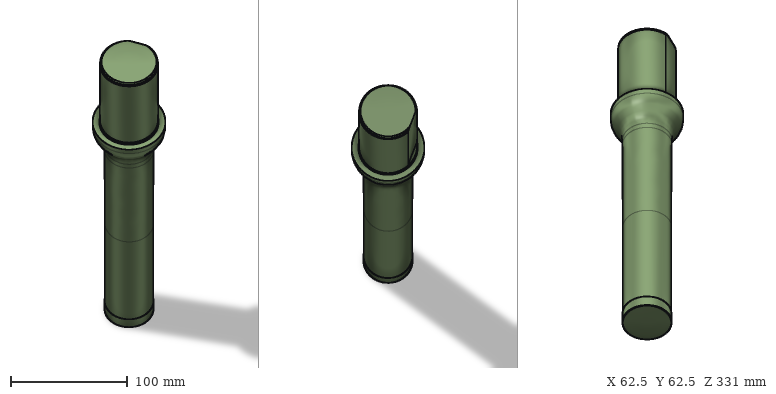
import cadquery as cq

total_height = 331.0
dome_height = 0.8
head_height = 11.7
taper_bottom = 115.5
taper_top = 214.7
neck_top = 219.7
bell_shoulder_height = 236.5
flange_underside = 246.0
flange_top = 251.0
relief_top = 252.7
flat_bottom = 256.0
shank_top = 327.9
pilot_bottom = 328.4

head_rim_diameter = 42.46
head_top_diameter = 42.2
stem_diameter = 41.8
neck_diameter = 42.46
bell_shoulder_diameter = 58.0
flange_diameter = 62.5
relief_diameter = 49.5
face_recess_diameter = 51.0
shank_diameter = 49.99
pilot_diameter = 49.5

face_recess_depth = 0.5
head_edge_chamfer = 0.5
pilot_chamfer = 1.25
flat_distance = 22.4
cutter_clearance = 1.0


def make_head():
    """Cutting head: flares slightly towards its rim, with a chamfered edge and a slightly domed end."""
    rim_radius = head_rim_diameter / 2
    edge_radius = rim_radius - head_edge_chamfer
    dome_radius = (edge_radius**2 + dome_height**2) / (2 * dome_height)
    return (
        cq.Workplane("XZ")
        .moveTo(0, 0)
        .radiusArc((edge_radius, dome_height), -dome_radius)
        .lineTo(rim_radius, dome_height + head_edge_chamfer)
        .lineTo(head_top_diameter / 2, head_height)
        .lineTo(0, head_height)
        .close()
        .revolve(360, (0, 0), (0, 1))
    )


def make_holder():
    """Holder: stem, taper, neck, bell-shaped flange and cylindrical shank."""
    stem_radius = stem_diameter / 2
    neck_radius = neck_diameter / 2
    flange_radius = flange_diameter / 2
    relief_radius = relief_diameter / 2
    face_recess_radius = face_recess_diameter / 2
    face_recess_bottom = flange_top - face_recess_depth
    shank_radius = shank_diameter / 2
    pilot_radius = pilot_diameter / 2

    vertical = (0, 1)
    bell_shoulder = (bell_shoulder_diameter / 2, bell_shoulder_height)

    holder = (
        cq.Workplane("XZ")
        .moveTo(0, head_height)
        .lineTo(stem_radius, head_height)
        .lineTo(stem_radius, taper_bottom)
        .lineTo(neck_radius, taper_top)
        .lineTo(neck_radius, neck_top)
        .spline(
            [bell_shoulder, (flange_radius, flange_underside)],
            tangents=[vertical, vertical],
            includeCurrent=True,
        )
        .lineTo(flange_radius, flange_top)
        .lineTo(face_recess_radius, flange_top)
        .lineTo(face_recess_radius, face_recess_bottom)
        .lineTo(relief_radius, face_recess_bottom)
        .lineTo(relief_radius, relief_top)
        .lineTo(shank_radius, relief_top)
        .lineTo(shank_radius, shank_top)
        .lineTo(pilot_radius, pilot_bottom)
        .lineTo(pilot_radius, total_height - pilot_chamfer)
        .lineTo(pilot_radius - pilot_chamfer, total_height)
        .lineTo(0, total_height)
        .close()
        .revolve(360, (0, 0), (0, 1))
    )
    return holder.cut(make_flat_cutter())


def make_flat_cutter():
    """Prism that mills the clamping flat, with a 45 degree run-out, into the +Y side of the shank."""
    outer_distance = shank_diameter / 2 + cutter_clearance
    runout_drop = outer_distance - flat_distance
    return (
        cq.Workplane("YZ")
        .moveTo(flat_distance, total_height)
        .lineTo(flat_distance, flat_bottom)
        .lineTo(outer_distance, flat_bottom - runout_drop)
        .lineTo(outer_distance, total_height)
        .close()
        .extrude(shank_diameter / 2, both=True)
    )


head = make_head()
holder = make_holder()

result = cq.Compound.makeCompound([head.val(), holder.val()])